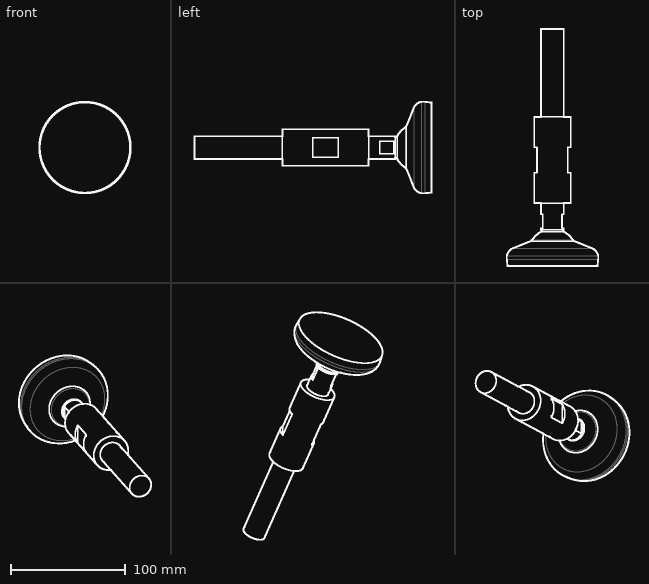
import cadquery as cq

TOTAL_LENGTH = 206.5

FOOT_DIAMETER = 80.0
FOOT_BASE_RADIUS = 39.2
RIM_BOTTOM = 6.2
RIM_TOP = 8.9
SHOULDER_RADIUS = 34.5
SHOULDER_HEIGHT = 15.7
SHOULDER_BULGE_RADIUS = 38.0
SHOULDER_BULGE_HEIGHT = 13.0
CONE_TOP_RADIUS = 19.0
CONE_TOP_HEIGHT = 21.9
DOME_BASE_RADIUS = 17.5
DOME_BASE_HEIGHT = 23.1
DOME_BULGE_RADIUS = 14.2
DOME_BULGE_HEIGHT = 27.0
DOME_TOP_RADIUS = 10.1
DOME_TOP_HEIGHT = 30.0
COLLAR_RADIUS = 9.7
COLLAR_HEIGHT = 30.5
FOOT_TOP_RADIUS = 8.7
FOOT_TOP_HEIGHT = 31.8

ROD_DIAMETER = 20.0
ROD_BOTTOM = FOOT_TOP_HEIGHT
ROD_FLAT_BOTTOM = 33.0
ROD_FLAT_LENGTH = 12.0
ROD_ACROSS_FLATS = 17.0

SLEEVE_DIAMETER = 32.0
SLEEVE_BOTTOM = 55.0
SLEEVE_LENGTH = 75.0
SLEEVE_FLAT_LENGTH = 21.9
SLEEVE_FLAT_BOTTOM = SLEEVE_BOTTOM + (SLEEVE_LENGTH - SLEEVE_FLAT_LENGTH) / 2
SLEEVE_ACROSS_FLATS = 27.0


def cylinder(diameter, bottom, length):
    """Cylinder along +Y, starting at Y = bottom."""
    base = cq.Workplane("XZ", origin=(0, bottom, 0))
    return base.circle(diameter / 2).extrude(-length)


def cut_wrench_flats(body, diameter, across_flats, bottom, length):
    """Cut two opposite flats, facing -X and +X, into a round body."""
    flat_depth = (diameter - across_flats) / 2
    for side in (-1, 1):
        cutter = (
            cq.Workplane("XY")
            .box(2 * flat_depth, length, diameter)
            .translate((side * diameter / 2, bottom + length / 2, 0))
        )
        body = body.cut(cutter)
    return body


def make_foot():
    """Solid of revolution: tapered base, narrow rim, rounded shoulder, cone, dome and tapered collar."""
    rim_radius = FOOT_DIAMETER / 2
    return (
        cq.Workplane("XY")
        .moveTo(0, 0)
        .lineTo(FOOT_BASE_RADIUS, 0)
        .lineTo(rim_radius, RIM_BOTTOM)
        .lineTo(rim_radius, RIM_TOP)
        .threePointArc(
            (SHOULDER_BULGE_RADIUS, SHOULDER_BULGE_HEIGHT),
            (SHOULDER_RADIUS, SHOULDER_HEIGHT),
        )
        .lineTo(CONE_TOP_RADIUS, CONE_TOP_HEIGHT)
        .lineTo(DOME_BASE_RADIUS, DOME_BASE_HEIGHT)
        .threePointArc(
            (DOME_BULGE_RADIUS, DOME_BULGE_HEIGHT),
            (DOME_TOP_RADIUS, DOME_TOP_HEIGHT),
        )
        .lineTo(COLLAR_RADIUS, COLLAR_HEIGHT)
        .lineTo(FOOT_TOP_RADIUS, FOOT_TOP_HEIGHT)
        .lineTo(0, FOOT_TOP_HEIGHT)
        .close()
        .revolve(360, (0, 0, 0), (0, 1, 0))
    )


def make_spindle():
    """Round rod with wrench flats, standing on top of the foot."""
    rod = cylinder(ROD_DIAMETER, ROD_BOTTOM, TOTAL_LENGTH - ROD_BOTTOM)
    return cut_wrench_flats(rod, ROD_DIAMETER, ROD_ACROSS_FLATS, ROD_FLAT_BOTTOM, ROD_FLAT_LENGTH)


def make_sleeve():
    """Thick tube around the spindle, with wrench flats at mid-length."""
    sleeve = cylinder(SLEEVE_DIAMETER, SLEEVE_BOTTOM, SLEEVE_LENGTH)
    sleeve = cut_wrench_flats(
        sleeve, SLEEVE_DIAMETER, SLEEVE_ACROSS_FLATS, SLEEVE_FLAT_BOTTOM, SLEEVE_FLAT_LENGTH
    )
    return sleeve.cut(cylinder(ROD_DIAMETER, SLEEVE_BOTTOM, SLEEVE_LENGTH))


foot = make_foot()
spindle = make_spindle()
sleeve = make_sleeve()

result = cq.Compound.makeCompound([foot.val(), spindle.val(), sleeve.val()])